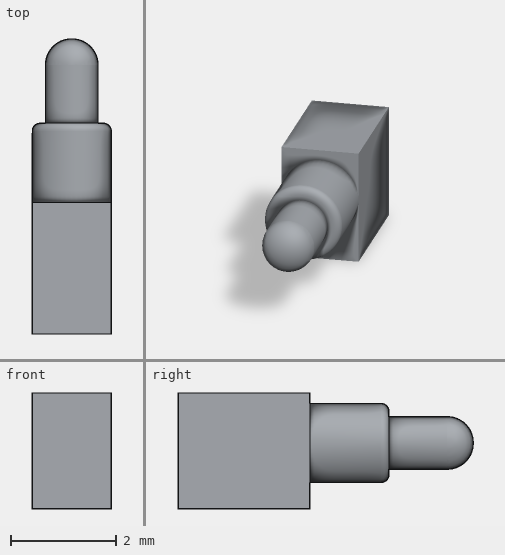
import cadquery as cq

total_length = 5.6
width = 1.5
block_length = 2.5
block_height = 2.2
axis_above_block_center = 0.15
sleeve_diameter = width
sleeve_length = 1.5
sleeve_rim_radius = 0.15
plunger_diameter = 1.0

sleeve_end = block_length + sleeve_length
plunger_length = total_length - sleeve_end
plunger_radius = plunger_diameter / 2


def cylinder_along_y(diameter, start, length):
    """Cylinder on the pin axis, running toward +Y from start."""
    plane = cq.Plane(origin=(0, start, 0), xDir=(1, 0, 0), normal=(0, 1, 0))
    return cq.Workplane(plane).circle(diameter / 2).extrude(length)


block = (
    cq.Workplane("XY")
    .box(width, block_length, block_height)
    .translate((0, block_length / 2, -axis_above_block_center))
)

sleeve = cylinder_along_y(sleeve_diameter, block_length, sleeve_length)
sleeve = sleeve.faces(">Y").edges().fillet(sleeve_rim_radius)

plunger_shank = cylinder_along_y(plunger_diameter, sleeve_end, plunger_length - plunger_radius)
plunger_tip = cq.Workplane("XY").sphere(plunger_radius).translate((0, total_length - plunger_radius, 0))
plunger = plunger_shank.union(plunger_tip)

result = block.union(sleeve).union(plunger)